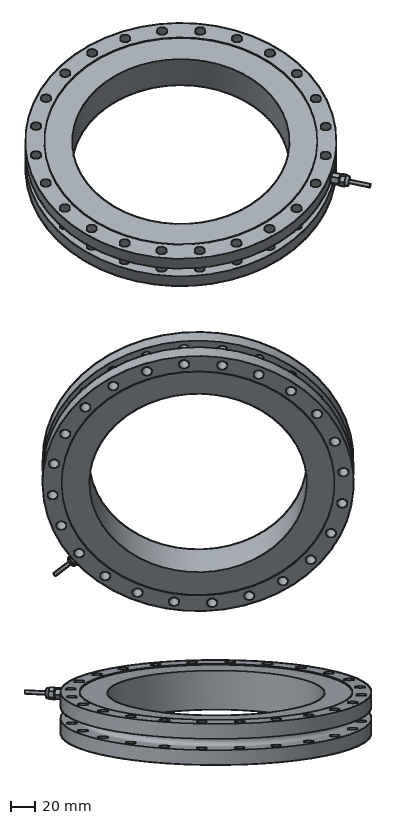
import cadquery as cq
import math

RING_DIAMETER = 258.0
BORE_DIAMETER = 180.0
RING_HEIGHT = 35.0
RECESS_DIAMETER = 226.0
RECESS_DEPTH = 1.0

GROOVE_DIAMETER = 220.0
GROOVE_WIDTH = 9.5
GROOVE_FILLET = 4.7

HOLE_COUNT = 24
HOLE_DIAMETER = 8.5
HOLE_CIRCLE_RADIUS = (RING_DIAMETER + RECESS_DIAMETER) / 4
FIRST_HOLE_ANGLE = 360 / HOLE_COUNT / 2

GLAND_AXIS_DROP = 8.0
NECK_DIAMETER = 8.0
STUB_LENGTH = 0.5
BODY_ACROSS_FLATS = 8.7
BODY_LENGTH = 6.7
NECK_LENGTH = 1.0
NUT_ACROSS_FLATS = 9.0
NUT_LENGTH = 4.5
CAP_DIAMETER = 9.0
CAP_LENGTH = 3.0
CAP_FILLET = 1.7

OVERALL_LENGTH = 291.5
CABLE_DIAMETER = 3.2

GLAND_AXIS_Z = RING_HEIGHT / 2 - GLAND_AXIS_DROP
BODY_START = RING_DIAMETER / 2 + STUB_LENGTH
NECK_START = BODY_START + BODY_LENGTH
NUT_START = NECK_START + NECK_LENGTH
CAP_START = NUT_START + NUT_LENGTH
CAP_END = CAP_START + CAP_LENGTH
CABLE_END = OVERALL_LENGTH - RING_DIAMETER / 2


def disc(diameter, height, base_z):
    """Upright cylinder on the ring axis."""
    return cq.Workplane("XY", origin=(0, 0, base_z)).circle(diameter / 2).extrude(height)


def gland_plane(x):
    """Plane across the gland axis, facing +X, with its local X along world Y."""
    return cq.Workplane("YZ", origin=(x, 0, GLAND_AXIS_Z))


def rod(start, end, diameter):
    """Cylinder along the gland axis."""
    return gland_plane(start).circle(diameter / 2).extrude(end - start)


def hexagon(start, end, across_flats, turn):
    """Hexagonal prism along the gland axis; at zero turn two corners point along Y."""
    across_corners = across_flats / math.cos(math.pi / 6)
    plane = gland_plane(start).transformed(rotate=(0, 0, turn))
    return plane.polygon(6, across_corners).extrude(end - start)


def make_groove():
    """Ring-shaped cutter for the outer groove, rounded where it meets its floor."""
    outside = disc(RING_DIAMETER, GROOVE_WIDTH, -GROOVE_WIDTH / 2)
    core = disc(GROOVE_DIAMETER, GROOVE_WIDTH, -GROOVE_WIDTH / 2)
    floor_edges = cq.selectors.RadiusNthSelector(0)
    return outside.cut(core).edges(floor_edges).fillet(GROOVE_FILLET)


def make_bolt_holes():
    """Cutters for the holes through both flanges."""
    return (
        cq.Workplane("XY", origin=(0, 0, -RING_HEIGHT / 2))
        .polarArray(HOLE_CIRCLE_RADIUS, FIRST_HOLE_ANGLE, 360, HOLE_COUNT)
        .circle(HOLE_DIAMETER / 2)
        .extrude(RING_HEIGHT)
    )


def make_ring():
    """Double-flanged ring with a shallow recess in each end face."""
    bottom = -RING_HEIGHT / 2
    top_recess_floor = RING_HEIGHT / 2 - RECESS_DEPTH
    ring = disc(RING_DIAMETER, RING_HEIGHT, bottom)
    ring = ring.cut(disc(BORE_DIAMETER, RING_HEIGHT, bottom))
    for recess_base in (bottom, top_recess_floor):
        ring = ring.cut(disc(RECESS_DIAMETER, RECESS_DEPTH, recess_base))
    return ring.cut(make_groove()).cut(make_bolt_holes())


def make_gland():
    """Stub on the rim, hexagonal body, neck, hexagonal nut and rounded cap."""
    stub = rod(0, BODY_START, NECK_DIAMETER)
    stub = stub.cut(disc(RING_DIAMETER, RING_HEIGHT, -RING_HEIGHT / 2))
    body = hexagon(BODY_START, NECK_START, BODY_ACROSS_FLATS, 0)
    neck = rod(NECK_START, NUT_START, NECK_DIAMETER)
    nut = hexagon(NUT_START, CAP_START, NUT_ACROSS_FLATS, 30)
    cap = rod(CAP_START, CAP_END, CAP_DIAMETER).faces(">X").edges().fillet(CAP_FILLET)
    return stub.union(body).union(neck).union(nut).union(cap)


def make_cable():
    """Cable leaving the end face of the gland's cap."""
    return rod(CAP_END, CABLE_END, CABLE_DIAMETER)


ring = make_ring()
gland = make_gland()
cable = make_cable()

result = cq.Compound.makeCompound([ring.val(), gland.val(), cable.val()])